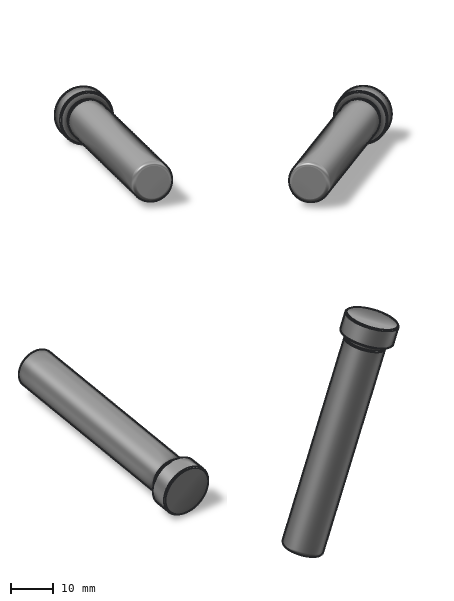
import cadquery as cq

total_length = 60.0
head_diameter = 13.0
head_thickness = 5.0
head_edge_chamfer = 0.3
shank_diameter = 10.0
tip_fillet = 1.0

groove_depth = 0.25
groove_end = 6.5
groove_ramp_length = 0.3

head_radius = head_diameter / 2
shank_radius = shank_diameter / 2
groove_radius = shank_radius - groove_depth


def cylinder_along_x(start, end, radius):
    return cq.Workplane("YZ").workplane(offset=start).circle(radius).extrude(end - start)


def make_head():
    head = cylinder_along_x(0, head_thickness, head_radius)
    return head.edges("%CIRCLE").chamfer(head_edge_chamfer)


def make_neck():
    """Reduced neck that ramps up to the shank diameter."""
    return (
        cq.Workplane("XY")
        .moveTo(head_thickness, 0)
        .lineTo(head_thickness, groove_radius)
        .lineTo(groove_end - groove_ramp_length, groove_radius)
        .lineTo(groove_end, shank_radius)
        .lineTo(groove_end, 0)
        .close()
        .revolve(360, (0, 0, 0), (1, 0, 0))
    )


def make_shank():
    shank = cylinder_along_x(groove_end, total_length, shank_radius)
    return shank.faces(">X").edges().fillet(tip_fillet)


result = make_head().union(make_neck()).union(make_shank())